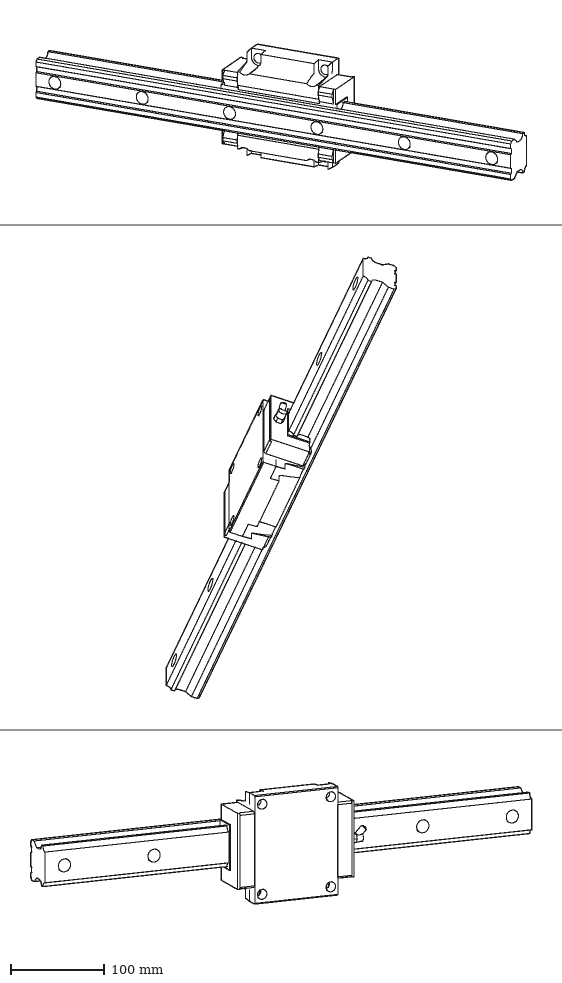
import cadquery as cq
import math


RAIL_LENGTH = 570.0
RAIL_WIDTH = 45.0
RAIL_HEIGHT = 38.0
TOP_GROOVE_RADIUS = 5.4
SIDE_GROOVE_TOP = 28.5
SIDE_GROOVE_RADIUS = 5.5
WAIST_BOTTOM = 16.0
FOOT_TOP = 9.0
FOOT_CHAMFER = 2.55
BASE_GROOVE_OUTER = 15.0
BASE_GROOVE_INNER = 8.5
BASE_GROOVE_DEPTH = 1.5
BASE_GROOVE_DRAFT = 0.85
RAIL_HOLE_COUNT = 6
RAIL_HOLE_PITCH = 105.0
RAIL_HOLE_DIAMETER = 14.0

CARRIAGE_TOP = 60.0
BLOCK_LENGTH = 97.5
BLOCK_BOTTOM = 11.5
BLOCK_FOOT_WIDTH = 88.0
BLOCK_WAIST_WIDTH = 96.5
LEG_INNER_WIDTH = 57.0
LEG_SLOPE_HEIGHT = 2.0
LEG_SLOPE_WIDTH = 45.5
FLANGE_WIDTH = 120.0
FLANGE_BOTTOM = 44.5
PAD_BOTTOM = 34.0
PAD_OUTER_WIDTH = 118.0
PAD_FILLET = 3.0
FLANGE_TOP_CHAMFER = 1.0
MOUNT_PITCH_X = 80.5
MOUNT_PITCH_Z = 100.0
MOUNT_HOLE_DIAMETER = 11.0
RELIEF_WIDTH = 16.5

CAP_WIDTH = 84.5
CAP_TOP = 58.5
CAP_TOP_CHAMFER = 2.0
CAP_SIDE_BOTTOM = 13.5
CAP_RIDGE_BOTTOM = 10.0
CAP_RIDGE_OUTER_WIDTH = 74.5
CAP_RIDGE_INNER_WIDTH = 67.0
CAP_END = 65.5
PLATE_THICKNESS = 2.55
PLATE_TOP = 58.0
SEAL_THICKNESS = 1.4
SEAL_WIDTH = 50.0
SEAL_TOP = 39.5
PLATE_END = CAP_END + PLATE_THICKNESS

NIPPLE_HEIGHT = 49.5
NIPPLE_OFFSET_Z = -1.0
HEX_FLATS = 9.5
HEX_LENGTH = 5.0
COLLAR_DIAMETER = 9.5
COLLAR_LENGTH = 7.5
HEAD_TILT = 45.0
HEAD_DIAMETER = 7.0
HEAD_LENGTH = 15.5
HEAD_CHAMFER = 1.0


def mirrored_outline(half_points):
    """Close a half outline of (Y, Z) points by repeating it on the -Z side."""
    other_half = [(y, -z) for y, z in reversed(half_points)]
    return cq.Workplane("YZ").polyline(half_points + other_half).close()


def slab(start, length, bottom, top, width):
    """Box between two heights, centred on Z = 0, reaching from X = start."""
    return cq.Workplane("XY").box(length, top - bottom, width, centered=(False, False, True)).translate(
        (start, bottom, 0)
    )


def both_ends(shape):
    """Join a shape with its mirror image at the opposite end of the carriage."""
    return shape.union(shape.mirror("YZ"))


def rail_bar():
    """Rail section extruded to length, without the bolt holes."""
    half = RAIL_WIDTH / 2
    waist = half - SIDE_GROOVE_RADIUS
    diagonal = math.sqrt(0.5)
    top_mid = TOP_GROOVE_RADIUS * diagonal
    side_mid = SIDE_GROOVE_RADIUS * diagonal
    side_centre = SIDE_GROOVE_TOP - SIDE_GROOVE_RADIUS

    half_section = (
        cq.Workplane("YZ", origin=(-RAIL_LENGTH / 2, 0, 0))
        .moveTo(BASE_GROOVE_DEPTH, 0)
        .lineTo(BASE_GROOVE_DEPTH, BASE_GROOVE_OUTER - BASE_GROOVE_DRAFT)
        .lineTo(0, BASE_GROOVE_OUTER)
        .lineTo(0, half - FOOT_CHAMFER)
        .lineTo(FOOT_CHAMFER, half)
        .lineTo(FOOT_TOP, half)
        .lineTo(WAIST_BOTTOM, waist)
        .lineTo(side_centre, waist)
        .threePointArc((side_centre + side_mid, half - side_mid), (SIDE_GROOVE_TOP, half))
        .lineTo(RAIL_HEIGHT - TOP_GROOVE_RADIUS, half)
        .threePointArc((RAIL_HEIGHT - top_mid, half - top_mid), (RAIL_HEIGHT, half - TOP_GROOVE_RADIUS))
        .lineTo(RAIL_HEIGHT, 0)
        .close()
        .extrude(RAIL_LENGTH)
    )
    base_strip = mirrored_outline(
        [(0, BASE_GROOVE_INNER - BASE_GROOVE_DRAFT), (BASE_GROOVE_DEPTH, BASE_GROOVE_INNER)]
    ).extrude(RAIL_LENGTH / 2, both=True)
    return half_section.union(half_section.mirror("XY")).union(base_strip)


def make_rail():
    """Rail with a row of through holes."""
    first_hole = -RAIL_HOLE_PITCH * (RAIL_HOLE_COUNT - 1) / 2
    rail = rail_bar()
    for index in range(RAIL_HOLE_COUNT):
        hole = (
            cq.Workplane("XZ")
            .center(first_hole + index * RAIL_HOLE_PITCH, 0)
            .circle(RAIL_HOLE_DIAMETER / 2)
            .extrude(-RAIL_HEIGHT)
        )
        rail = rail.cut(hole)
    return rail


def carriage_block():
    """Steel block with drafted sides and a flange along each side."""
    half_flange = FLANGE_WIDTH / 2
    half_waist = BLOCK_WAIST_WIDTH / 2
    half_block = (
        cq.Workplane("YZ", origin=(-BLOCK_LENGTH / 2, 0, 0))
        .moveTo(CARRIAGE_TOP, 0)
        .lineTo(CARRIAGE_TOP, half_flange - FLANGE_TOP_CHAMFER)
        .lineTo(CARRIAGE_TOP - FLANGE_TOP_CHAMFER, half_flange)
        .lineTo(FLANGE_BOTTOM, half_flange)
        .lineTo(PAD_BOTTOM, PAD_OUTER_WIDTH / 2)
        .lineTo(PAD_BOTTOM, half_waist)
        .lineTo(BLOCK_BOTTOM, BLOCK_FOOT_WIDTH / 2)
        .lineTo(BLOCK_BOTTOM, LEG_INNER_WIDTH / 2)
        .lineTo(BLOCK_BOTTOM + LEG_SLOPE_HEIGHT, LEG_SLOPE_WIDTH / 2)
        .lineTo(BLOCK_BOTTOM + LEG_SLOPE_HEIGHT, 0)
        .close()
        .extrude(BLOCK_LENGTH)
    )
    pad_corner = cq.selectors.NearestToPointSelector((0, PAD_BOTTOM, half_waist))
    half_block = half_block.edges(pad_corner).fillet(PAD_FILLET)
    block = half_block.union(half_block.mirror("XY"))
    for side_x in (-1, 1):
        for side_z in (-1, 1):
            block = block.cut(mount_cut(side_x, side_z))
    return block


def mount_cut(side_x, side_z):
    """Bolt hole through one flange corner and the round-ended relief below it."""
    hole_x = side_x * MOUNT_PITCH_X / 2
    hole_z = side_z * MOUNT_PITCH_Z / 2
    hole = cq.Workplane("XZ").center(hole_x, hole_z).circle(MOUNT_HOLE_DIAMETER / 2).extrude(-CARRIAGE_TOP)
    round_end = cq.Workplane("XZ").center(hole_x, hole_z).circle(RELIEF_WIDTH / 2).extrude(-FLANGE_BOTTOM)
    open_end = (
        cq.Workplane("XZ")
        .center(hole_x, hole_z + side_z * RELIEF_WIDTH / 2)
        .rect(RELIEF_WIDTH, RELIEF_WIDTH)
        .extrude(-FLANGE_BOTTOM)
    )
    return hole.union(round_end).union(open_end)


def end_cap():
    """Cap at the +X end of the block, with a bevelled ridge under each leg."""
    outline = [
        (CAP_TOP, CAP_WIDTH / 2 - CAP_TOP_CHAMFER),
        (CAP_TOP - CAP_TOP_CHAMFER, CAP_WIDTH / 2),
        (CAP_SIDE_BOTTOM, CAP_WIDTH / 2),
        (CAP_RIDGE_BOTTOM, CAP_RIDGE_OUTER_WIDTH / 2),
        (CAP_RIDGE_BOTTOM, CAP_RIDGE_INNER_WIDTH / 2),
        (CAP_SIDE_BOTTOM, SEAL_WIDTH / 2),
    ]
    cap = mirrored_outline(outline).extrude(CAP_END - BLOCK_LENGTH / 2)
    return cap.translate((BLOCK_LENGTH / 2, 0, 0))


def make_carriage():
    """Block with caps, scraper plates and seals, closely fitting the rail section."""
    plate = slab(CAP_END, PLATE_THICKNESS, CAP_SIDE_BOTTOM, PLATE_TOP, CAP_WIDTH)
    seal = slab(PLATE_END, SEAL_THICKNESS, CAP_SIDE_BOTTOM, SEAL_TOP, SEAL_WIDTH)
    end_stack = end_cap().union(plate).union(seal)
    return carriage_block().union(both_ends(end_stack)).cut(rail_bar())


def make_grease_nipple():
    """Hexagonal base on the -X plate, a round collar, and a head tilted outward and toward +Z."""
    hex_corners = HEX_FLATS / math.cos(math.pi / 6)
    base = (
        cq.Workplane("YZ", origin=(-PLATE_END, NIPPLE_HEIGHT, NIPPLE_OFFSET_Z))
        .polygon(6, hex_corners)
        .extrude(-HEX_LENGTH)
    )
    hex_end = (-PLATE_END - HEX_LENGTH, NIPPLE_HEIGHT, NIPPLE_OFFSET_Z)
    collar = cq.Workplane("YZ", origin=hex_end).circle(COLLAR_DIAMETER / 2).extrude(-COLLAR_LENGTH)
    tilt = math.radians(HEAD_TILT)
    head_direction = (-math.cos(tilt), 0, math.sin(tilt))
    head_plane = cq.Plane(origin=hex_end, xDir=(0, 1, 0), normal=head_direction)
    head_tip = cq.selectors.DirectionMinMaxSelector(cq.Vector(*head_direction))
    head = (
        cq.Workplane(head_plane)
        .circle(HEAD_DIAMETER / 2)
        .extrude(HEAD_LENGTH)
        .faces(head_tip)
        .chamfer(HEAD_CHAMFER)
    )
    return base.union(collar).union(head)


rail = make_rail()
carriage = make_carriage()
grease_nipple = make_grease_nipple()

result = cq.Compound.makeCompound([
    rail.solids().val(),
    carriage.solids().val(),
    grease_nipple.solids().val(),
])